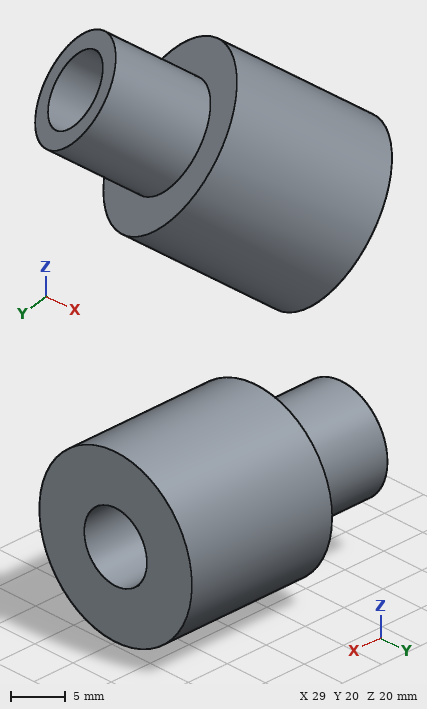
import cadquery as cq

total_length = 29.0
spigot_length = 11.0
body_diameter = 20.0
spigot_diameter = 12.1
bore_diameter = 8.2

body_length = total_length - spigot_length


def cylinder_along_x(start_x, length, diameter):
    """Solid cylinder centred on the X axis, running toward +X from start_x."""
    return cq.Workplane("YZ", origin=(start_x, 0, 0)).circle(diameter / 2).extrude(length)


spigot = cylinder_along_x(0, spigot_length, spigot_diameter)
body = cylinder_along_x(spigot_length, body_length, body_diameter)

bore = cylinder_along_x(0, total_length, bore_diameter)

result = spigot.union(body).cut(bore)